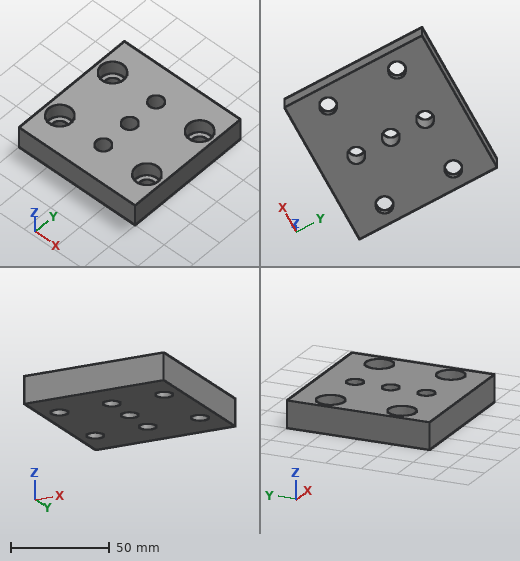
import cadquery as cq

side = 80.0
thickness = 15.0

hole_diameter = 9.0
counterbore_diameter = 15.0
counterbore_depth = 9.0
column_offset = 30.0
row_offset = 20.0

plate = cq.Workplane("XY").box(side, side, thickness, centered=(True, True, False))

screw_points = [(x, y) for x in (-column_offset, column_offset) for y in (-row_offset, row_offset)]
plate = (
    plate.faces(">Z").workplane(origin=(0, 0, thickness))
    .pushPoints(screw_points)
    .cboreHole(hole_diameter, counterbore_diameter, counterbore_depth)
)

centre_points = [(0, y) for y in (-row_offset, 0, row_offset)]
result = (
    plate.faces(">Z").workplane(origin=(0, 0, thickness))
    .pushPoints(centre_points)
    .hole(hole_diameter)
)